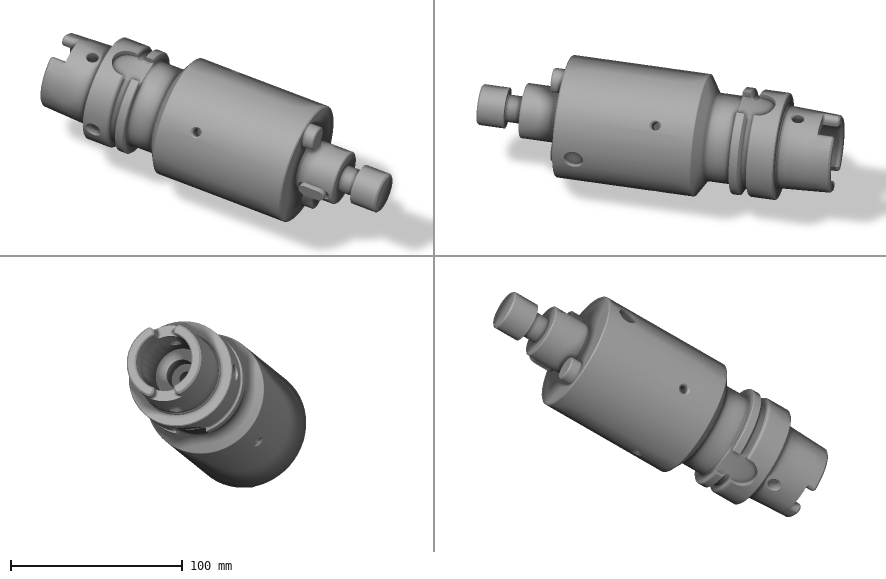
import cadquery as cq

shank_length = 31.9
shank_end_radius = 22.75
shank_taper = 1 / 20
shank_end_chamfer = 1.0
relief_radius = 23.9
relief_length = 2.2
root_fillet = 0.9

bore_mouth_radius = 17.0
bore_mouth_chamfer = 0.7
bore_mouth_depth = 12.0
bore_floor_radius = 15.5
bore_depth = 34.0
tube_hole_radius = 8.9
tube_hole_depth = 10.0
coolant_hole_radius = 4.2
coolant_hole_depth = 20.0

notch_half_width = 6.1
notch_lip_radius = 3.1
notch_lip_height = 20.7
notch_depth_top = 9.8
notch_depth_bottom = 6.0
notch_floor_fillet = 1.1
notch_mouth_chamfer = 1.0
cross_hole_radius = 3.5
cross_hole_mouth_radius = 4.2
cross_hole_x = -8.8

flange_radius = 31.5
flange_width = 26.1
flange_edge_chamfer = 0.5
groove_radius = 27.5
groove_start = 16.1
groove_bottom_width = 3.4
groove_corner_fillet = 0.6
groove_rear_run = 1.7
groove_front_rounding = 1.8
flange_slot_width = 18.3
flange_slot_floor = 26.5
flange_slot_start = 4.7
chip_hole_diameter = 9.7
chip_hole_x = 6.9
chip_hole_depth = 4.5

neck_radius = 26.0
neck_fillet = 1.0
cone_start = 41.5
cone_end = 47.9
cone_start_rounding = 1.6
cone_end_rounding = 0.7
body_radius = 36.0
body_end = 130.0
body_edge_chamfer = 0.7
edge_hole_radius = 2.5
edge_hole_mouth_radius = 3.5
edge_hole_depth = 10.0
edge_hole_x = 70.7
edge_hole_angles = (45, 135, 225, 315)
side_recess_diameter = 11.5
side_recess_depth = 3.0
side_recess_x = 117.2

arbor_radius = 16.2
arbor_end = 154.0
arbor_edge_chamfer = 0.6
undercut_radius = 15.6
undercut_width = 0.8
undercut_ramp = 1.3
pocket_length = 20.0
pocket_center_x = 142.1
pocket_floor = 13.0

key_length = 16.2
key_width = 8.2
key_center_x = 141.6
key_top = 18.4

pin_radius = 7.2
pin_offset = 27.1
pin_projection = 7.0
pin_seat_depth = 8.0
pin_chamfer = 0.7

screw_end = 180.0
screw_head_radius = 12.0
screw_head_length = 16.2
screw_head_chamfer = 1.0
screw_shank_radius = 8.0
screw_neck_fillet = 0.6
screw_tip = 122.0


def cylinder_x(radius, start, end):
    """Cylinder on the X axis from start to end."""
    return cq.Workplane("YZ", origin=(start, 0, 0)).circle(radius).extrude(end - start)


def radial_cylinder(radius, x, inner, outer, angle):
    """Cylinder pointing away from the X axis; the angle is measured from +Y towards +Z."""
    post = cq.Workplane("XZ", origin=(x, inner, 0)).circle(radius).extrude(-(outer - inner))
    return post.rotate((0, 0, 0), (1, 0, 0), angle)


def key_block(length, center_x, inner, outer):
    """Round-ended block on the -Y side between two distances from the axis."""
    plane = cq.Workplane("XZ", origin=(center_x, -inner, 0))
    return plane.slot2D(length, key_width).extrude(outer - inner)


def circle_at(x):
    """Selects the circular edges centred on the X axis at x."""
    reach = 0.1
    return cq.selectors.BoxSelector((x - reach, -reach, -reach), (x + reach, reach, reach))


def holder_blank():
    taper_end_radius = shank_end_radius + shank_taper * (shank_length - relief_length)
    front_rounding_start = groove_start - groove_front_rounding
    groove_end = groove_start + groove_bottom_width
    rear_flank_end = groove_end + groove_rear_run
    undercut_end = body_end + undercut_width
    blank = (
        cq.Workplane("XZ")
        .moveTo(-shank_length, 0)
        .lineTo(-shank_length, shank_end_radius - shank_end_chamfer)
        .lineTo(-shank_length + shank_end_chamfer, shank_end_radius + shank_taper * shank_end_chamfer)
        .lineTo(-relief_length, taper_end_radius)
        .lineTo(-relief_length, relief_radius)
        .lineTo(-root_fillet, relief_radius)
        .radiusArc((0, relief_radius + root_fillet), root_fillet)
        .lineTo(0, flange_radius - flange_edge_chamfer)
        .lineTo(flange_edge_chamfer, flange_radius)
        .lineTo(front_rounding_start, flange_radius)
        .radiusArc((groove_start, flange_radius - groove_front_rounding), groove_front_rounding)
        .lineTo(groove_start, groove_radius + groove_corner_fillet)
        .radiusArc((groove_start + groove_corner_fillet, groove_radius), -groove_corner_fillet)
        .lineTo(groove_end - groove_corner_fillet, groove_radius)
        .radiusArc((groove_end, groove_radius + groove_corner_fillet), -groove_corner_fillet)
        .lineTo(rear_flank_end, flange_radius)
        .lineTo(flange_width - flange_edge_chamfer, flange_radius)
        .lineTo(flange_width, flange_radius - flange_edge_chamfer)
        .lineTo(flange_width, neck_radius + neck_fillet)
        .radiusArc((flange_width + neck_fillet, neck_radius), -neck_fillet)
        .lineTo(cone_start, neck_radius)
        .lineTo(cone_end, body_radius)
        .lineTo(body_end - body_edge_chamfer, body_radius)
        .lineTo(body_end, body_radius - body_edge_chamfer)
        .lineTo(body_end, undercut_radius)
        .lineTo(undercut_end, undercut_radius)
        .lineTo(undercut_end + undercut_ramp, arbor_radius)
        .lineTo(arbor_end - arbor_edge_chamfer, arbor_radius)
        .lineTo(arbor_end, arbor_radius - arbor_edge_chamfer)
        .lineTo(arbor_end, 0)
        .close()
        .revolve(360, (0, 0, 0), (1, 0, 0))
    )
    blank = blank.edges(circle_at(cone_start)).fillet(cone_start_rounding)
    return blank.edges(circle_at(cone_end)).fillet(cone_end_rounding)


def shank_bore():
    mouth_end = -shank_length + bore_mouth_depth
    floor_x = -shank_length + bore_depth
    tube_floor_x = floor_x + tube_hole_depth
    coolant_floor_x = tube_floor_x + coolant_hole_depth
    return (
        cq.Workplane("XZ")
        .moveTo(-shank_length, 0)
        .lineTo(-shank_length, bore_mouth_radius + bore_mouth_chamfer)
        .lineTo(-shank_length + bore_mouth_chamfer, bore_mouth_radius)
        .lineTo(mouth_end, bore_mouth_radius)
        .lineTo(floor_x, bore_floor_radius)
        .lineTo(floor_x, tube_hole_radius)
        .lineTo(tube_floor_x, tube_hole_radius)
        .lineTo(tube_floor_x, coolant_hole_radius)
        .lineTo(coolant_floor_x, coolant_hole_radius)
        .lineTo(coolant_floor_x, 0)
        .close()
        .revolve(360, (0, 0, 0), (1, 0, 0))
    )


def notch_profile(growth):
    """Notch outline for the +Z side, grown outward: a slot whose walls roll over onto two flats."""
    half_width = notch_half_width + growth
    flat_half_width = notch_half_width + notch_lip_radius
    flat_height = notch_lip_height - growth
    lip_radius = notch_lip_radius - growth
    lip_start = notch_lip_height - notch_lip_radius
    outer = shank_end_radius + notch_lip_radius
    return (
        cq.Workplane("YZ", origin=(-shank_length, 0, 0))
        .moveTo(-half_width, 0)
        .lineTo(half_width, 0)
        .lineTo(half_width, lip_start)
        .radiusArc((flat_half_width, flat_height), lip_radius)
        .lineTo(outer, flat_height)
        .lineTo(outer, outer)
        .lineTo(-outer, outer)
        .lineTo(-outer, flat_height)
        .lineTo(-flat_half_width, flat_height)
        .radiusArc((-half_width, lip_start), lip_radius)
        .close()
    )


def drive_notch(depth):
    """Notch cutter for the +Z side, with a rounded floor corner and a flared mouth."""
    slot = notch_profile(0).extrude(depth).faces(">X").edges().fillet(notch_floor_fillet)
    mouth = notch_profile(notch_mouth_chamfer).extrude(notch_mouth_chamfer, taper=45)
    return slot.union(mouth)


def flange_slot():
    """Slot cutter for the +Z side: round front end, open towards the neck."""
    half_width = flange_slot_width / 2
    arc_center_x = flange_slot_start + half_width
    return (
        cq.Workplane("XY", origin=(0, 0, flange_slot_floor))
        .moveTo(arc_center_x, -half_width)
        .threePointArc((flange_slot_start, 0), (arc_center_x, half_width))
        .lineTo(flange_width, half_width)
        .lineTo(flange_width, -half_width)
        .close()
        .extrude(flange_radius - flange_slot_floor)
    )


def countersink(hole_radius, mouth_radius, x, surface_radius, angle):
    """45-degree cone that is mouth_radius wide at the given distance from the axis."""
    depth = mouth_radius - hole_radius
    cone = cq.Solid.makeCone(
        hole_radius,
        mouth_radius + depth,
        2 * depth,
        pnt=cq.Vector(x, surface_radius - depth, 0),
        dir=cq.Vector(0, 1, 0),
    )
    return cq.Workplane(obj=cone).rotate((0, 0, 0), (1, 0, 0), angle)


def edge_hole(angle):
    """Radial blind hole with a countersunk mouth in the main cylinder."""
    hole = radial_cylinder(edge_hole_radius, edge_hole_x, body_radius - edge_hole_depth, body_radius, angle)
    return hole.union(countersink(edge_hole_radius, edge_hole_mouth_radius, edge_hole_x, body_radius, angle))


def cross_hole(angle):
    """Radial hole with a countersunk mouth through the wall of the shank."""
    surface_radius = shank_end_radius + shank_taper * (shank_length + cross_hole_x)
    hole = radial_cylinder(cross_hole_radius, cross_hole_x, 0, surface_radius, angle)
    mouth = countersink(cross_hole_radius, cross_hole_mouth_radius, cross_hole_x, surface_radius, angle)
    return hole.union(mouth)


def drive_pins():
    """One solid pin on each side of the axis along Z."""
    start = body_end - pin_seat_depth
    end = body_end + pin_projection
    pin = cylinder_x(pin_radius, start, end).faces(">X").chamfer(pin_chamfer)
    return [pin.translate((0, 0, side * pin_offset)) for side in (1, -1)]


def clamping_screw():
    head_start = screw_end - screw_head_length
    return (
        cq.Workplane("XZ")
        .moveTo(screw_tip, 0)
        .lineTo(screw_tip, screw_shank_radius)
        .lineTo(head_start - screw_neck_fillet, screw_shank_radius)
        .radiusArc((head_start, screw_shank_radius + screw_neck_fillet), screw_neck_fillet)
        .lineTo(head_start, screw_head_radius)
        .lineTo(screw_end - screw_head_chamfer, screw_head_radius)
        .lineTo(screw_end, screw_head_radius - screw_head_chamfer)
        .lineTo(screw_end, 0)
        .close()
        .revolve(360, (0, 0, 0), (1, 0, 0))
    )


def holder_body(pins, screw):
    body = holder_blank().cut(shank_bore())
    body = body.cut(drive_notch(notch_depth_top))
    body = body.cut(drive_notch(notch_depth_bottom).rotate((0, 0, 0), (1, 0, 0), 180))
    for angle in (0, 180):
        body = body.cut(flange_slot().rotate((0, 0, 0), (1, 0, 0), angle))
        body = body.cut(cross_hole(angle + 90))
    body = body.cut(radial_cylinder(
        chip_hole_diameter / 2, chip_hole_x, flange_radius - chip_hole_depth, flange_radius, 180))
    body = body.cut(radial_cylinder(
        side_recess_diameter / 2, side_recess_x, body_radius - side_recess_depth, body_radius, 0))
    for angle in edge_hole_angles:
        body = body.cut(edge_hole(angle))
    body = body.cut(key_block(pocket_length, pocket_center_x, pocket_floor, key_top))
    for pin in pins:
        body = body.cut(pin)
    return body.cut(screw)


pins = drive_pins()
screw = clamping_screw()
key = key_block(key_length, key_center_x, pocket_floor, key_top)
holder = holder_body(pins, screw)

result = cq.Compound.makeCompound(
    [holder.val(), key.val(), screw.val()] + [pin.val() for pin in pins]
)